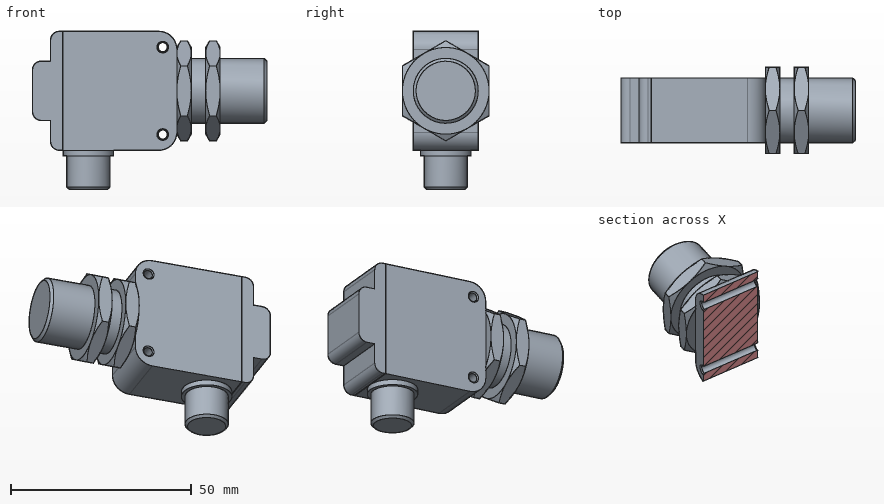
import cadquery as cq
import math


thickness = 18.0
housing_height = 33.0
housing_start = 5.0
housing_end = 40.0
front_radius = 2.5
rear_radius = 5.0
tab_height = housing_height / 2

seam_x = 8.4
seam_width = 0.1
seam_depth = 0.1

hole_diameter = 2.5
hole_mouth_diameter = 3.2
hole_inset = 3.9
hole_x = housing_end - hole_inset
hole_z = 12.1

barrel_diameter = 18.0
barrel_end = 65.0
barrel_chamfer = 0.8

nut_across_flats = 24.0
hexagon_half_angle = math.radians(30)
nut_across_corners = nut_across_flats / math.cos(hexagon_half_angle)
nut_width = 4.0
nut_gap = 4.0
nut_starts = (housing_end, housing_end + nut_width + nut_gap)
nut_chamfer_angle = 30.0

flange_diameter = 14.0
flange_height = 1.5
plug_diameter = 12.0
plug_length = 10.85
plug_chamfer = 0.7
plug_x = 15.5


def slab(x_start, x_end, height):
    """Block of full housing thickness, centred on the barrel axis."""
    return cq.Workplane("XY").box(x_end - x_start, thickness, height).translate(
        ((x_start + x_end) / 2, 0, 0)
    )


def make_housing():
    """Rounded main block and front tab, with the parting groove cut around it."""
    main = slab(housing_start, housing_end, housing_height)
    main = main.edges("|Y and <X").fillet(front_radius)
    main = main.edges("|Y and >X").fillet(rear_radius)
    tab = slab(0, housing_start + front_radius, tab_height)
    tab = tab.edges("|Y and <X").fillet(front_radius)
    return main.union(tab).cut(make_seam())


def make_seam():
    """Shallow parting groove running right around the housing."""
    outer = slab(seam_x, seam_x + seam_width, housing_height)
    core = cq.Workplane("XY").box(
        seam_width, thickness - 2 * seam_depth, housing_height - 2 * seam_depth
    )
    return outer.cut(core.translate((seam_x + seam_width / 2, 0, 0)))


def make_mounting_hole(z):
    """Through hole along Y with a 45 degree countersink at each end."""
    half_thickness = thickness / 2
    hole_radius = hole_diameter / 2
    mouth_radius = hole_mouth_diameter / 2
    straight_end = half_thickness - (mouth_radius - hole_radius)
    profile = [
        (0, -half_thickness),
        (mouth_radius, -half_thickness),
        (hole_radius, -straight_end),
        (hole_radius, straight_end),
        (mouth_radius, half_thickness),
        (0, half_thickness),
    ]
    cutter = cq.Workplane("XY").polyline(profile).close().revolve(360, (0, 0, 0), (0, 1, 0))
    return cutter.translate((hole_x, 0, z))


def make_barrel():
    """Plain barrel rooted inside the housing so that the two overlap."""
    barrel_root = housing_end - rear_radius
    barrel = (
        cq.Workplane("YZ", origin=(barrel_root, 0, 0))
        .circle(barrel_diameter / 2)
        .extrude(barrel_end - barrel_root)
    )
    return barrel.faces(">X").chamfer(barrel_chamfer)


def make_nut(x_start):
    """Hexagon with two corners on Z, its corners turned off conically on both faces."""
    hexagon = (
        cq.Workplane("YZ")
        .transformed(rotate=(0, 0, 90))
        .polygon(6, nut_across_corners)
        .extrude(nut_width)
    )
    face_radius = nut_across_flats / 2
    corner_radius = nut_across_corners / 2
    corner_drop = (corner_radius - face_radius) * math.tan(math.radians(nut_chamfer_angle))
    turned_profile = [
        (0, 0),
        (0, face_radius),
        (corner_drop, corner_radius),
        (nut_width - corner_drop, corner_radius),
        (nut_width, face_radius),
        (nut_width, 0),
    ]
    turned = cq.Workplane("XY").polyline(turned_profile).close().revolve(360, (0, 0, 0), (1, 0, 0))
    return hexagon.intersect(turned).translate((x_start, 0, 0))


def make_connector():
    """Flange and chamfered plug hanging below the housing."""
    underside = cq.Workplane("XY", origin=(plug_x, 0, -housing_height / 2))
    flange = underside.circle(flange_diameter / 2).extrude(-flange_height)
    plug = underside.circle(plug_diameter / 2).extrude(-plug_length)
    plug = plug.faces("<Z").chamfer(plug_chamfer)
    return flange.union(plug)


result = make_housing().union(make_barrel()).union(make_connector())
for nut_start in nut_starts:
    result = result.union(make_nut(nut_start))
for side in (-1, 1):
    result = result.cut(make_mounting_hole(side * hole_z))